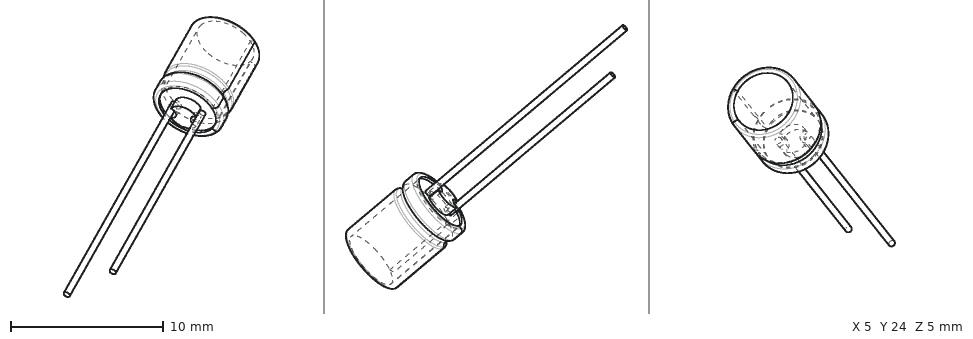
import cadquery as cq
import math

OUTER_RADIUS = 2.5
BORE_RADIUS = 2.05
SLEEVE_LENGTH = 6.3
LEAD_END_ROUND = 0.22
BACK_END_ROUND = 0.17

GROOVE_DEPTH = 0.22
GROOVE_RADIUS = OUTER_RADIUS - GROOVE_DEPTH
GROOVE_BOTTOM = 1.45
RIM_ROUND_START = 0.94
RIM_CREASE = 1.18
RIM_CREASE_RADIUS = 2.35
GROOVE_HOLLOW_LENGTH = 0.3
GROOVE_CREST_LENGTH = 0.15
GROOVE_BLEND_LENGTH = GROOVE_HOLLOW_LENGTH + GROOVE_CREST_LENGTH
GROOVE_END = GROOVE_BOTTOM + GROOVE_BLEND_LENGTH

STRIPE_ANGLE = 60

CORE_RECESS = 0.2
BOSS_RADIUS = 1.0
BOSS_PROTRUSION = 0.65
NOTCH_RADIUS = 0.48

LEAD_RADIUS = 0.228
LEAD_SPACING = 2.0
LEAD_LENGTH_DIFFERENCE = 3.0
OVERALL_LENGTH = 24
LONG_LEAD_TIP = OVERALL_LENGTH - SLEEVE_LENGTH
SHORT_LEAD_TIP = LONG_LEAD_TIP - LEAD_LENGTH_DIFFERENCE
LEADS = [(-LEAD_SPACING / 2, LONG_LEAD_TIP), (LEAD_SPACING / 2, SHORT_LEAD_TIP)]


def round_point(center_radius, center_y, radius, angle):
    """Point of an arc in the (radius, Y) half plane."""
    a = math.radians(angle)
    return center_radius + radius * math.cos(a), center_y + radius * math.sin(a)


def sleeve_sector(start_angle, sweep):
    """Part of the grooved sleeve wall; the angle runs from +X towards +Z."""
    front_center = OUTER_RADIUS - LEAD_END_ROUND
    back_center = OUTER_RADIUS - BACK_END_ROUND
    back_round_start = SLEEVE_LENGTH - BACK_END_ROUND

    hollow_length = GROOVE_BOTTOM - RIM_CREASE
    hollow_rise = RIM_CREASE_RADIUS - GROOVE_RADIUS
    hollow_radius = (hollow_length**2 + hollow_rise**2) / (2 * hollow_rise)
    hollow_turn = math.degrees(math.asin(hollow_length / hollow_radius))
    hollow_middle = round_point(
        GROOVE_RADIUS + hollow_radius, GROOVE_BOTTOM, hollow_radius, 180 + hollow_turn / 2
    )

    blend_rise = GROOVE_DEPTH * GROOVE_HOLLOW_LENGTH / GROOVE_BLEND_LENGTH
    blend_point = (GROOVE_RADIUS + blend_rise, GROOVE_BOTTOM + GROOVE_HOLLOW_LENGTH)

    profile = (
        cq.Workplane("XY")
        .moveTo(BORE_RADIUS, 0)
        .lineTo(front_center, 0)
        .threePointArc(
            round_point(front_center, LEAD_END_ROUND, LEAD_END_ROUND, -45),
            (OUTER_RADIUS, LEAD_END_ROUND),
        )
        .lineTo(OUTER_RADIUS, RIM_ROUND_START)
        .tangentArcPoint((RIM_CREASE_RADIUS, RIM_CREASE), relative=False)
        .threePointArc(hollow_middle, (GROOVE_RADIUS, GROOVE_BOTTOM))
        .tangentArcPoint(blend_point, relative=False)
        .tangentArcPoint((OUTER_RADIUS, GROOVE_END), relative=False)
        .lineTo(OUTER_RADIUS, back_round_start)
        .threePointArc(
            round_point(back_center, back_round_start, BACK_END_ROUND, 45),
            (back_center, SLEEVE_LENGTH),
        )
        .lineTo(BORE_RADIUS, SLEEVE_LENGTH)
        .close()
    )
    sector = profile.revolve(sweep, (0, 0, 0), (0, -1, 0))
    return sector.rotate((0, 0, 0), (0, 1, 0), -start_angle)


def rod(x, radius, start_y, end_y):
    """Cylinder along Y between two stations."""
    return cq.Workplane("XZ", origin=(x, end_y, 0)).circle(radius).extrude(end_y - start_y)


def make_core():
    """Core recessed at the lead end, with a boss notched around each lead."""
    core = rod(0, BORE_RADIUS, CORE_RECESS, SLEEVE_LENGTH)
    boss = rod(0, BOSS_RADIUS, -BOSS_PROTRUSION, CORE_RECESS)
    for x, _ in LEADS:
        boss = boss.cut(rod(x, NOTCH_RADIUS, -BOSS_PROTRUSION, CORE_RECESS))
    return core.union(boss)


def make_lead(x, tip):
    """Straight wire standing on the recessed face of the core."""
    return rod(x, LEAD_RADIUS, -tip, CORE_RECESS)


stripe = sleeve_sector(-STRIPE_ANGLE / 2, STRIPE_ANGLE)
sleeve = sleeve_sector(STRIPE_ANGLE / 2, 360 - STRIPE_ANGLE)
core = make_core()
leads = [make_lead(x, tip) for x, tip in LEADS]

result = cq.Compound.makeCompound([sleeve.val(), stripe.val(), core.val(), *[lead.val() for lead in leads]])